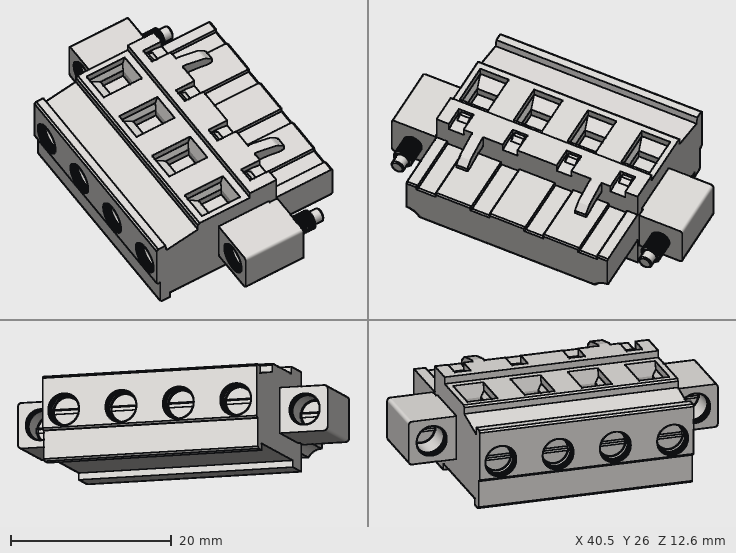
import cadquery as cq


total_width = 40.5
total_depth = 26.0
total_height = 12.6
body_width = 28.0
body_depth = 17.7
edge_chamfer = 0.25

pole_count = 4
pole_pitch = 7.5
pole_xs = [(i - (pole_count - 1) / 2) * pole_pitch for i in range(pole_count)]

ledge_height = 11.7
ledge_front = 6.1
ledge_back = 13.8
ramp_top = 10.6
ramp_bottom = 9.65
lip_depth = 1.5
lip_lean = 0.2
overhang = 0.5
overhang_height = 3.8
foot_height = 0.85
front_foot_back = 2.0
rear_foot_front = 14.3

plug_bottom = 3.3
plug_top = 9.15
scoop_radius = 2.0
scoop_height = 1.0
plug_end_chamfer = 0.2
key_groove_width = 2.55
key_groove_depth = 0.4
key_groove_flare = 0.1

flange_front = 9.15
flange_bottom = 3.4
flange_top = 9.15
flange_corner_radius = 0.45
relief_width = 0.2
relief_depth = 1.1

screw_height = 6.25
flange_screw_x = 17.25
wire_screw_mouth_radius = 2.05
flange_screw_mouth_radius = 2.0
screw_ridge_height = 0.1
screw_head_chamfer = 0.2
slot_width = 0.6
slot_depth = 0.7
wire_screw_depth = 1.5
flange_screw_depth = 4.0
ridge_pitch = 0.25
mouth_ridge_count = 4
thread_ridge_count = 12
thread_radius = 1.27
thread_root_radius = 1.05
shank_embed = 2.0
pin_radius = 0.88
pin_end = 22.1
pin_chamfer = 0.15

entry_width = 3.95
entry_front = 7.2
entry_back = 12.83
entry_mouth_depth = 1.0
funnel_depth = 0.75
bore_width = 3.0
bore_front = 8.95
bore_back = 12.3
entry_floor = 8.9

pocket_width = 2.05
pocket_front = 14.95
pocket_depth = 0.8
pocket_ramp_front = 16.55
pocket_ramp_drop = 0.2
wedge_width = 1.4
wedge_back = 16.1
wedge_crest = 15.4
wedge_height = 0.4

latch_width = 1.5
latch_x = 8.25
latch_end = pin_end
latch_flat_end = 18.2
latch_shoulder_start = (20.95, 11.97)
latch_shoulder_end = (21.2, 11.83)
latch_nose_top = 11.1
latch_nose_bottom = 10.65
latch_hook_back = 21.85
latch_hook_front = 21.25
latch_hook_bottom = 10.5
latch_underside_middle = (19.75, 10.8)
latch_root_bottom = 10.88


def side_prism(outline, width, center_x=0.0):
    """Prism along X from an outline in (Y, Z)."""
    start = center_x - width / 2
    return outline(cq.Workplane("YZ", origin=(start, 0, 0))).extrude(width)


def box(x_range, y_range, z_range):
    corner = (x_range[0], y_range[0], z_range[0])
    size = (x_range[1] - x_range[0], y_range[1] - y_range[0], z_range[1] - z_range[0])
    return cq.Workplane("XY").box(*size, centered=False).translate(corner)


def centered_range(center, width):
    return (center - width / 2, center + width / 2)


def make_body():
    """Stepped main block, with one side outline along its full width."""
    points = [
        (overhang + edge_chamfer, 0),
        (front_foot_back, 0),
        (front_foot_back, foot_height),
        (rear_foot_front, foot_height),
        (rear_foot_front, 0),
        (body_depth, 0),
        (body_depth, total_height),
        (ledge_back, total_height),
        (ledge_back, ledge_height),
        (ledge_front + edge_chamfer, ledge_height),
        (ledge_front, ledge_height - edge_chamfer),
        (ledge_front, ramp_top),
        (lip_depth, ramp_bottom),
        (lip_depth - lip_lean, ramp_top),
        (edge_chamfer, ramp_top),
        (0, ramp_top - edge_chamfer),
        (0, overhang_height + edge_chamfer),
        (edge_chamfer, overhang_height),
        (overhang, overhang_height),
        (overhang, edge_chamfer),
    ]
    return side_prism(lambda plane: plane.polyline(points).close(), body_width)


def make_key_groove(x):
    """Shallow groove along the plug top with slightly flared walls."""
    half_floor = key_groove_width / 2 - key_groove_flare
    half_mouth = key_groove_width / 2
    floor = plug_top - key_groove_depth
    points = [(-half_floor, floor), (half_floor, floor), (half_mouth, plug_top), (-half_mouth, plug_top)]
    profile = cq.Workplane("XZ", origin=(x, total_depth, 0)).polyline(points).close()
    return profile.extrude(total_depth - body_depth)


def make_plug():
    """Plug block with a concave scoop along each lower corner and a groove per pole."""
    plug = box(centered_range(0, body_width), (body_depth, total_depth), (plug_bottom, plug_top))
    scoop_z = plug_bottom + scoop_height - scoop_radius
    scoop_centers = [(-body_width / 2, scoop_z), (body_width / 2, scoop_z)]
    scoop_plane = cq.Workplane("XZ", origin=(0, total_depth, 0)).pushPoints(scoop_centers)
    plug = plug.cut(scoop_plane.circle(scoop_radius).extrude(total_depth - body_depth))
    for x in pole_xs:
        plug = plug.cut(make_key_groove(x))
    end_edges = plug.faces(">Y").edges("not(<X or >X)")
    return end_edges.chamfer(plug_end_chamfer)


def make_latch(center_x):
    """Hooked finger reaching over the plug from the top of the body."""
    def outline(plane):
        return (
            plane.moveTo(body_depth, total_height)
            .lineTo(latch_flat_end, total_height)
            .lineTo(*latch_shoulder_start)
            .lineTo(*latch_shoulder_end)
            .lineTo(latch_end, latch_nose_top)
            .lineTo(latch_end, latch_nose_bottom)
            .lineTo(latch_hook_back, latch_hook_bottom)
            .lineTo(latch_hook_front, latch_hook_bottom)
            .threePointArc(latch_underside_middle, (body_depth, latch_root_bottom))
            .close()
        )

    return side_prism(outline, latch_width, center_x)


def make_flange(side):
    """Screw flange on one side (-1 or 1), with a narrow relief next to the body."""
    inner = side * body_width / 2
    outer = side * total_width / 2
    x_range = (min(inner, outer), max(inner, outer))
    flange = box(x_range, (flange_front, body_depth), (flange_bottom, flange_top))
    outer_edges = flange.faces(">X" if side > 0 else "<X").edges("|Y")
    flange = outer_edges.fillet(flange_corner_radius)
    relief_side = inner + side * relief_width
    relief_x = (min(inner, relief_side), max(inner, relief_side))
    return flange.cut(box(relief_x, (body_depth - relief_depth, body_depth), (flange_bottom, flange_top)))


def revolve_about_y(points, x):
    """Solid of revolution about the screw axis at x, from points in (radius, Y)."""
    profile = cq.Workplane("XY", origin=(x, 0, screw_height)).polyline(points).close()
    return profile.revolve(360, (0, 0, 0), (0, 1, 0))


def ridged_profile(start_y, count, root_radius, crest_radius):
    """Points of a row of V ridges running towards +Y."""
    points = [(root_radius, start_y)]
    for i in range(count):
        ridge_y = start_y + i * ridge_pitch
        points.append((crest_radius, ridge_y + ridge_pitch / 2))
        points.append((root_radius, ridge_y + ridge_pitch))
    return points


def cut_screw_hole(part, x, face_y, depth, mouth_radius):
    """Hole with a ridged mouth, ending on a slotted, chamfered screw head."""
    head_y = face_y + depth
    hole_radius = mouth_radius - screw_ridge_height
    ridges = ridged_profile(face_y, mouth_ridge_count, mouth_radius, hole_radius)
    points = [(0, face_y)] + ridges + [
        (hole_radius, face_y + mouth_ridge_count * ridge_pitch),
        (hole_radius, head_y + screw_head_chamfer),
        (hole_radius - screw_head_chamfer, head_y),
        (0, head_y),
    ]
    slot = box(
        centered_range(x, 2 * hole_radius),
        (head_y, head_y + slot_depth),
        centered_range(screw_height, slot_width),
    )
    return part.cut(revolve_about_y(points, x)).cut(slot)


def make_threaded_end(x):
    """Threaded shank with a plain pin, standing out behind a flange."""
    ridges = ridged_profile(body_depth, thread_ridge_count, thread_root_radius, thread_radius)
    root_y = body_depth - shank_embed
    points = [(0, root_y), (thread_root_radius, root_y)] + ridges + [
        (pin_radius, body_depth + thread_ridge_count * ridge_pitch),
        (pin_radius, pin_end - pin_chamfer),
        (pin_radius - pin_chamfer, pin_end),
        (0, pin_end),
    ]
    return revolve_about_y(points, x)


def rectangle_wire(x, width, y_range, z):
    middle = (x, sum(y_range) / 2, z)
    return cq.Workplane("XY", origin=middle).rect(width, y_range[1] - y_range[0]).wires().val()


def loft_between(lower_wire, upper_wire):
    return cq.Workplane(cq.Solid.makeLoft([lower_wire, upper_wire], True))


def make_wire_entry(x):
    """Mouth, funnel and blind bore; the back wall leans evenly through mouth and funnel."""
    funnel_top = ledge_height - entry_mouth_depth
    funnel_bottom = funnel_top - funnel_depth
    lean = (entry_back - bore_back) / (entry_mouth_depth + funnel_depth)
    funnel_back = entry_back - lean * entry_mouth_depth
    mouth_wire = rectangle_wire(x, entry_width, (entry_front, entry_back), ledge_height)
    funnel_wire = rectangle_wire(x, entry_width, (entry_front, funnel_back), funnel_top)
    bore_y = (bore_front, bore_back)
    bore_wire = rectangle_wire(x, bore_width, bore_y, funnel_bottom)
    bore = box(centered_range(x, bore_width), bore_y, (entry_floor, funnel_bottom))
    return loft_between(funnel_wire, mouth_wire).union(loft_between(bore_wire, funnel_wire)).union(bore)


def make_test_pocket(x):
    """Pocket open to the top and back, less the wedge that stands on its floor."""
    floor = total_height - pocket_depth
    points = [
        (pocket_front, total_height),
        (pocket_front, floor),
        (pocket_ramp_front, floor),
        (body_depth, floor - pocket_ramp_drop),
        (body_depth, total_height),
    ]
    pocket = side_prism(lambda plane: plane.polyline(points).close(), pocket_width, x)
    wedge_points = [
        (pocket_front, floor),
        (wedge_back, floor),
        (wedge_crest, floor + wedge_height),
        (pocket_front, floor + wedge_height),
    ]
    wedge = side_prism(lambda plane: plane.polyline(wedge_points).close(), wedge_width, x)
    return pocket.cut(wedge)


part = make_body().union(make_plug())
for side in (-1, 1):
    part = part.union(make_latch(side * latch_x))
    part = part.union(make_flange(side))
    part = part.union(make_threaded_end(side * flange_screw_x))
    part = cut_screw_hole(
        part, side * flange_screw_x, flange_front, flange_screw_depth, flange_screw_mouth_radius
    )
for x in pole_xs:
    part = part.cut(make_wire_entry(x))
    part = part.cut(make_test_pocket(x))
    part = cut_screw_hole(part, x, 0, wire_screw_depth, wire_screw_mouth_radius)

result = part